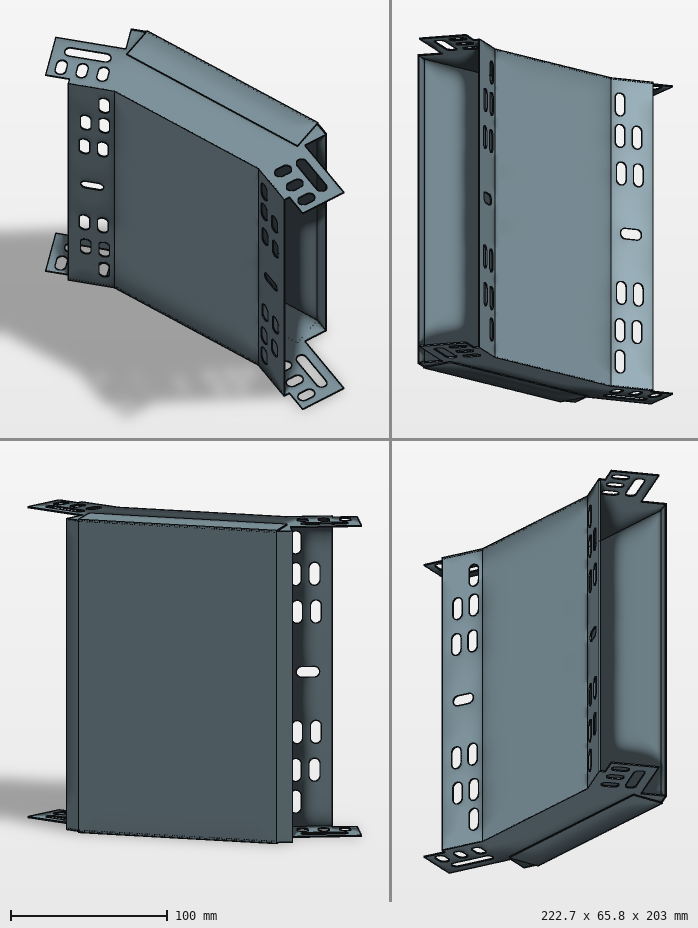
import cadquery as cq
import math


sheet = 0.78
bend_angle = 22.5
web_half_length = 55.7
overall_length = 222.7
half_height = 101.5
lid_back = 52.0

tray_half_height = half_height - sheet
wing_length = 30.0
tab_reach = 45.7
tab_front = 4.0

flap_depth = 23.0

slot_width = 7.0
wing_slot_length = 15.0
column_spacing = 12.0
edge_column = 6.7
inner_column = 7.5
corner_slot_z = 84.0
outer_slot_z = 63.5
inner_slot_z = 39.0
centre_slot_reach = 14.5

tab_slot_length = 11.5
tab_slot_reach = 23.5
tab_slot_spacing = 13.5
tab_slot_inset = 12.2
long_slot_length = 30.0
long_slot_reach = 22.7
long_slot_inset = 25.6

cos_bend = math.cos(math.radians(bend_angle))
sin_bend = math.sin(math.radians(bend_angle))
mitre_slope = math.tan(math.radians(bend_angle / 2))
lid_inner = lid_back - sheet

tab_back = (overall_length / 2 - web_half_length - tab_reach * cos_bend) / sin_bend


def wing_point(reach, inset):
    """XY of a point on the +X wing: reach from the bend line, inset behind the front face."""
    x = web_half_length + reach * cos_bend + inset * sin_bend
    y = -reach * sin_bend + inset * cos_bend
    return (x, y)


def bend_point(depth):
    """XY where the middle and the +X wing meet, at a given depth behind the front face."""
    return (web_half_length + depth * mitre_slope, depth)


def symmetric_plate(right_points, z_low, z_high):
    """Plate between two heights; its outline is the +X half plus its mirror image."""
    left_points = [(-x, y) for x, y in reversed(right_points)]
    outline = cq.Workplane("XY").workplane(offset=z_low).polyline(right_points + left_points).close()
    return outline.extrude(z_high - z_low)


def both_ends(cutter):
    """The +X cutter together with its mirror image at the -X end."""
    return cutter.add(cutter.mirror("YZ").vals())


def wing_slot(reach, z, angle):
    """Cutter through the +X web wing; angle 0 runs along the wing, 90 runs upright."""
    x, y = wing_point(reach, sheet / 2)
    plane = cq.Plane(origin=(x, y, z), xDir=(cos_bend, -sin_bend, 0), normal=(-sin_bend, -cos_bend, 0))
    return cq.Workplane(plane).slot2D(wing_slot_length, slot_width, angle).extrude(2 * sheet, both=True)


def tab_slot(reach, inset, length, angle):
    """Cutter through both +X side tabs; angle 0 runs along the wing, 90 runs across it."""
    x, y = wing_point(reach, inset)
    base = cq.Workplane("XY").center(x, y).slot2D(length, slot_width, angle - bend_angle)
    return base.extrude(half_height, both=True)


def make_tray():
    web_outline = [
        bend_point(0),
        wing_point(wing_length, 0),
        wing_point(wing_length, sheet),
        bend_point(sheet),
    ]
    tray = symmetric_plate(web_outline, -tray_half_height, tray_half_height)

    side_outline = [
        bend_point(0),
        wing_point(wing_length, 0),
        wing_point(wing_length, tab_front),
        wing_point(tab_reach, tab_front),
        wing_point(tab_reach, tab_back),
        wing_point(0, tab_back),
        wing_point(0, lid_inner),
        bend_point(lid_inner),
    ]
    side_inner_z = tray_half_height - sheet
    tray = tray.union(symmetric_plate(side_outline, side_inner_z, tray_half_height))
    tray = tray.union(symmetric_plate(side_outline, -tray_half_height, -side_inner_z))

    upright_slots = [
        (edge_column, corner_slot_z),
        (edge_column, outer_slot_z),
        (edge_column + column_spacing, outer_slot_z),
        (inner_column, inner_slot_z),
        (inner_column + column_spacing, inner_slot_z),
    ]
    for reach, z in upright_slots:
        for side in (-1, 1):
            tray = tray.cut(both_ends(wing_slot(reach, side * z, 90)))
    tray = tray.cut(both_ends(wing_slot(centre_slot_reach, 0, 0)))

    tray = tray.cut(both_ends(tab_slot(long_slot_reach, long_slot_inset, long_slot_length, 0)))
    for step in (-1, 0, 1):
        reach = tab_slot_reach + step * tab_slot_spacing
        tray = tray.cut(both_ends(tab_slot(reach, tab_slot_inset, tab_slot_length, 90)))
    return tray


def make_lid():
    panel_outline = [
        bend_point(lid_inner),
        wing_point(0, lid_inner),
        wing_point(0, lid_back),
        bend_point(lid_back),
    ]
    lid = symmetric_plate(panel_outline, -tray_half_height, tray_half_height)

    flap_half_length = bend_point(lid_back)[0]
    flap_outline = [(flap_half_length, lid_back - flap_depth), (flap_half_length, lid_back)]
    lid = lid.union(symmetric_plate(flap_outline, tray_half_height, half_height))
    lid = lid.union(symmetric_plate(flap_outline, -half_height, -tray_half_height))
    return lid


tray = make_tray()
lid = make_lid()
result = cq.Compound.makeCompound([tray.val(), lid.val()])